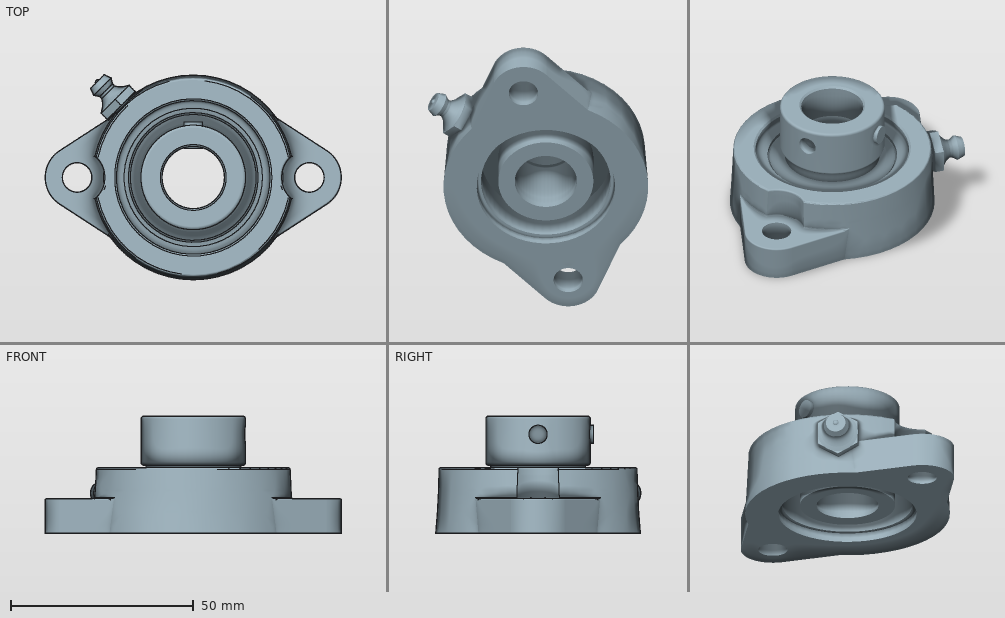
import cadquery as cq
import math

BODY_BASE_R = 28.0
BODY_HEIGHT = 18.0
BODY_DRAFT = 3.0
WING_HEIGHT = 9.5
BOLT_X = 31.75
BOLT_HOLE_D = 8.0
OVERALL_LENGTH = 81.0
WING_TIP_R = OVERALL_LENGTH / 2 - BOLT_X
WING_FLANK_ANGLE = 33.0
NOTCH_R = 7.6
RIM_FILLET = 0.5
WING_FILLET = 0.4
JUNCTION_FILLET = 0.4
RECESS_R = 42.0 / 2
RECESS_DEPTH = 2.5
RECESS_FLOOR_FILLET = 0.6
RECESS_CHAMFER = 0.5
COVE_INNER_R = (BODY_BASE_R + RECESS_R) / 2

SEAT_SPHERE_R = 20.0
BEARING_Z = BODY_HEIGHT / 2
RING_TOP_Z = BODY_HEIGHT - RECESS_DEPTH
RING_BOTTOM_Z = 2 * BEARING_Z - RING_TOP_Z
SEAT_MOUTH_R = math.sqrt(SEAT_SPHERE_R**2 - (RING_TOP_Z - BEARING_Z) ** 2)
OUTER_RING_BORE_R = 35.45 / 2
SHAFT_R = 17.0 / 2
INNER_RING_R = 26.0 / 2
INNER_RING_TOP_Z = 22.5
INNER_RING_BORE_FILLET = 1.5

SEAL_LIP_R = 17.2
SEAL_FLAT_R = 14.9
SEAL_LIP_DROP = 0.6
SEAL_WEB_DROP = 1.0
SEAL_LIP_Z = RING_TOP_Z - SEAL_LIP_DROP
SEAL_WEB_TOP_Z = RING_TOP_Z - SEAL_WEB_DROP
SEAL_WEB_THICKNESS = 0.8

COLLAR_R = 28.6 / 2
COLLAR_TOP_Z = 32.11
COLLAR_HEIGHT = 13.5
COLLAR_FILLET = 0.8
COLLAR_BORE_CHAMFER = 0.5
SCREW_D = 5.0
SCREW_BELOW_TOP = 5.0
SCREW_Z = COLLAR_TOP_Z - SCREW_BELOW_TOP
SCREW_INNER_Y = 7.9
SCREW_LENGTH = 7.3
PIN_HOLE_DEPTH = 3.0

NIPPLE_Z = 11.0
NIPPLE_ANGLE = math.radians(135.0)
NIPPLE_OUTWARD = (math.cos(NIPPLE_ANGLE), math.sin(NIPPLE_ANGLE), 0)
STEM_R = 2.5
STEM_START = 22.5
HEX_START = 27.8
HEX_END = 30.2
HEX_FLATS = 10.8
HEX_CHAMFER_R = 5.5
FLARE_START = 30.8
FLARE_R = 4.5
FLARE_MIDDLE = 31.9
FLARE_MIDDLE_R = 3.2
NECK_START = 32.9
NECK_END = 33.7
HEAD_WIDEST = 35.1
HEAD_R = 3.4
TIP = 37.07
TIP_R = 5.36 / 2
BALL_R = 0.9
BALL_PROTRUSION = 0.45


def cylinder_z(radius, z_bottom, z_top, x=0.0):
    return cq.Workplane("XY", origin=(x, 0, z_bottom)).circle(radius).extrude(z_top - z_bottom)


def body_radius(z):
    return BODY_BASE_R - z * math.tan(math.radians(BODY_DRAFT))


def ring_of_revolution(profile):
    """Revolve an outline of (radius, z) points about the Z axis."""
    return cq.Workplane("XZ").polyline(profile).close().revolve(360, (0, 0, 0), (0, 1, 0))


def wing_block(height):
    """Block over the +X wing: round tip, with flanks that end where they are nearest the shaft axis."""
    angle = math.radians(WING_FLANK_ANGLE)
    tangent_x = BOLT_X + WING_TIP_R * math.sin(angle)
    tangent_y = WING_TIP_R * math.cos(angle)
    flank_distance = WING_TIP_R + BOLT_X * math.sin(angle)
    root_x = flank_distance * math.sin(angle)
    root_y = flank_distance * math.cos(angle)
    return (
        cq.Workplane("XY")
        .moveTo(root_x, -root_y)
        .lineTo(tangent_x, -tangent_y)
        .threePointArc((BOLT_X + WING_TIP_R, 0), (tangent_x, tangent_y))
        .lineTo(root_x, root_y)
        .close()
        .extrude(height)
    )


def seat_sphere():
    return cq.Workplane("XY", origin=(0, 0, BEARING_Z)).sphere(SEAT_SPHERE_R)


def nipple_frame():
    """Plane through the shaft axis: local X runs outwards along the nipple, local Y is +Z."""
    across = (math.sin(NIPPLE_ANGLE), -math.cos(NIPPLE_ANGLE), 0)
    return cq.Plane(origin=(0, 0, NIPPLE_Z), xDir=NIPPLE_OUTWARD, normal=across)


def nipple_plane(distance):
    """Plane square to the nipple axis at a distance from the shaft axis, local X being +Z."""
    centre = (distance * NIPPLE_OUTWARD[0], distance * NIPPLE_OUTWARD[1], NIPPLE_Z)
    return cq.Plane(origin=centre, xDir=(0, 0, 1), normal=NIPPLE_OUTWARD)


def make_wing():
    wing = wing_block(WING_HEIGHT)
    root_edge = wing.faces(">Z").edges("<X").val()
    outer_edges = [edge for edge in wing.faces(">Z").edges().vals() if not edge.isSame(root_edge)]
    return wing.newObject(outer_edges).fillet(WING_FILLET)


def make_wing_cove():
    """Concave fillet where the top of the +X wing meets the body."""
    cove_top_z = WING_HEIGHT + JUNCTION_FILLET
    cove_foot_r = body_radius(WING_HEIGHT) + JUNCTION_FILLET
    middle = JUNCTION_FILLET * math.sqrt(0.5)
    cove = (
        cq.Workplane("XZ")
        .moveTo(body_radius(cove_top_z), cove_top_z)
        .threePointArc((cove_foot_r - middle, cove_top_z - middle), (cove_foot_r, WING_HEIGHT))
        .lineTo(cove_foot_r, WING_HEIGHT - WING_FILLET)
        .lineTo(COVE_INNER_R, WING_HEIGHT - WING_FILLET)
        .lineTo(COVE_INNER_R, cove_top_z)
        .close()
        .revolve(360, (0, 0, 0), (0, 1, 0))
    )
    return cove.intersect(wing_block(BODY_HEIGHT))


def cut_both_sides(shape, cutter):
    return shape.cut(cutter).cut(cutter.mirror("YZ"))


def make_notch():
    """Cutter for the clearance around the +X bolt."""
    return cylinder_z(NOTCH_R, WING_HEIGHT, BODY_HEIGHT, BOLT_X)


def make_body():
    """Drafted round body with the rounded rim that follows both bolt notches."""
    body = ring_of_revolution(
        [(0, 0), (BODY_BASE_R, 0), (body_radius(BODY_HEIGHT), BODY_HEIGHT), (0, BODY_HEIGHT)]
    )
    body = cut_both_sides(body, make_notch())
    return body.faces(">Z").edges().fillet(RIM_FILLET)


def make_housing():
    wing = make_wing().union(make_wing_cove())
    bolt_hole = cylinder_z(BOLT_HOLE_D / 2, 0, WING_HEIGHT, BOLT_X)
    round_floored_notch = make_notch().faces("<Z").edges().fillet(JUNCTION_FILLET)
    housing = make_body().union(wing).union(wing.mirror("YZ"))
    housing = cut_both_sides(housing, round_floored_notch)
    housing = cut_both_sides(housing, bolt_hole)

    recess = cylinder_z(RECESS_R, RING_TOP_Z, BODY_HEIGHT).faces("<Z").edges().fillet(RECESS_FLOOR_FILLET)
    mouth = ring_of_revolution(
        [
            (0, BODY_HEIGHT - RECESS_CHAMFER),
            (RECESS_R, BODY_HEIGHT - RECESS_CHAMFER),
            (RECESS_R + RECESS_CHAMFER, BODY_HEIGHT),
            (0, BODY_HEIGHT),
        ]
    )
    bottom_opening = cylinder_z(SEAT_MOUTH_R, 0, BEARING_Z)
    stem_hole = cq.Workplane(nipple_plane(STEM_START)).circle(STEM_R).extrude(BODY_BASE_R - STEM_START)
    return housing.cut(recess).cut(mouth).cut(seat_sphere()).cut(bottom_opening).cut(stem_hole)


def make_outer_ring():
    band = cylinder_z(SEAT_SPHERE_R, RING_BOTTOM_Z, RING_TOP_Z)
    bore = cylinder_z(OUTER_RING_BORE_R, RING_BOTTOM_Z, RING_TOP_Z)
    return seat_sphere().intersect(band).cut(bore)


def make_inner_ring():
    sleeve = cylinder_z(INNER_RING_R, RING_BOTTOM_Z, INNER_RING_TOP_Z)
    sleeve = sleeve.cut(cylinder_z(SHAFT_R, RING_BOTTOM_Z, INNER_RING_TOP_Z))
    bore_edge = cq.selectors.RadiusNthSelector(0)
    return sleeve.faces(">Z").edges(bore_edge).fillet(INNER_RING_BORE_FILLET)


def make_seal():
    """Web closing the gap between the rings, with a raised conical lip on the inner ring."""
    web_bottom_z = SEAL_WEB_TOP_Z - SEAL_WEB_THICKNESS
    return ring_of_revolution(
        [
            (INNER_RING_R, web_bottom_z),
            (OUTER_RING_BORE_R, web_bottom_z),
            (OUTER_RING_BORE_R, SEAL_WEB_TOP_Z),
            (SEAL_LIP_R, SEAL_WEB_TOP_Z),
            (SEAL_LIP_R, SEAL_LIP_Z),
            (SEAL_FLAT_R, RING_TOP_Z),
            (INNER_RING_R, RING_TOP_Z),
        ]
    )


def make_set_screw():
    return (
        cq.Workplane("XZ", origin=(0, SCREW_INNER_Y, 0))
        .center(0, SCREW_Z)
        .circle(SCREW_D / 2)
        .extrude(-SCREW_LENGTH)
    )


def make_collar(set_screw):
    collar_bottom_z = COLLAR_TOP_Z - COLLAR_HEIGHT
    collar = cylinder_z(COLLAR_R, collar_bottom_z, COLLAR_TOP_Z).edges().fillet(COLLAR_FILLET)
    collar = collar.cut(cylinder_z(SHAFT_R, collar_bottom_z, COLLAR_TOP_Z))
    bore_edge = cq.selectors.RadiusNthSelector(0)
    collar = collar.faces(">Z").edges(bore_edge).chamfer(COLLAR_BORE_CHAMFER)
    collar = collar.cut(cylinder_z(INNER_RING_R, collar_bottom_z, INNER_RING_TOP_Z))
    pin_hole = (
        cq.Workplane("YZ", origin=(COLLAR_R - PIN_HOLE_DEPTH, 0, SCREW_Z))
        .circle(SCREW_D / 2)
        .extrude(PIN_HOLE_DEPTH)
    )
    return collar.cut(pin_hole).cut(set_screw)


def make_check_ball():
    """Ball standing slightly proud of the nipple tip."""
    return cq.Workplane(nipple_plane(TIP + BALL_PROTRUSION - BALL_R)).sphere(BALL_R)


def make_nipple(check_ball):
    turned = (
        cq.Workplane(nipple_frame())
        .moveTo(TIP, 0)
        .lineTo(TIP, TIP_R)
        .lineTo(HEAD_WIDEST, HEAD_R)
        .lineTo(NECK_END, STEM_R)
        .lineTo(NECK_START, STEM_R)
        .threePointArc((FLARE_MIDDLE, FLARE_MIDDLE_R), (FLARE_START, FLARE_R))
        .lineTo(HEX_END, HEX_CHAMFER_R)
        .lineTo(HEX_END, STEM_R)
        .lineTo(STEM_START, STEM_R)
        .lineTo(STEM_START, 0)
        .close()
        .revolve(360, (0, 0), (1, 0))
    )
    hex_corners = HEX_FLATS / math.cos(math.radians(30))
    hexagon = cq.Workplane(nipple_plane(HEX_START)).polygon(6, hex_corners).extrude(HEX_END - HEX_START)
    return turned.union(hexagon).cut(check_ball)


set_screw = make_set_screw()
collar = make_collar(set_screw)
check_ball = make_check_ball()
nipple = make_nipple(check_ball)
housing = make_housing()
outer_ring = make_outer_ring()
inner_ring = make_inner_ring()
seal = make_seal()

result = cq.Compound.makeCompound(
    [
        housing.val(),
        outer_ring.val(),
        inner_ring.val(),
        seal.val(),
        collar.val(),
        set_screw.val(),
        nipple.val(),
        check_ball.val(),
    ]
)